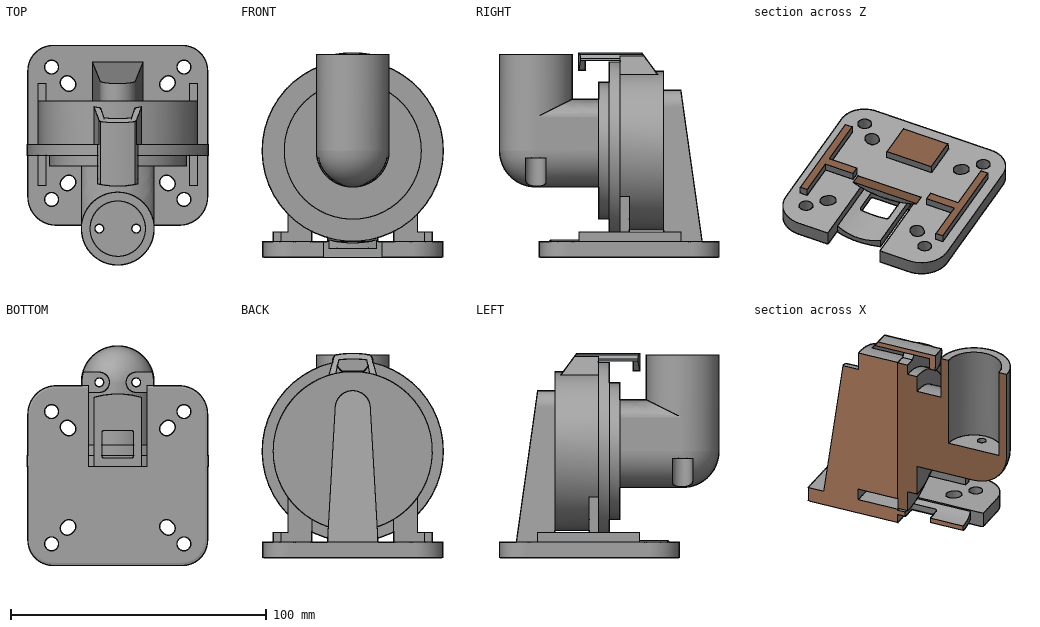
import cadquery as cq
import math


PLATE_SIZE = 70.5
PLATE_BACK = 38.8
PLATE_FRONT = PLATE_BACK - PLATE_SIZE
PLATE_TOP = 6.3
PLATE_BEVEL_H = 0.3
PLATE_BEVEL_W = 1.0
BACK_CORNER_R = 10.0
FRONT_CORNER_R = 11.2
HOLE_MID_Y = 4.4
ROUND_HOLE_PITCH = 25.9
HOLE_D = 5.3
LONG_HOLE_PITCH = 19.45
LONG_HOLE_LENGTH = 6.3
LONG_HOLE_ANGLE = 45

AXIS_Z = 41.9
DRUM_R = 31.15
DRUM_DEPTH = 17.0
FLANGE_R = 71.0 / 2
FLANGE_T = 4.3
BOSS_R = 26.85
BOSS_T = 4.05

TUBE_R = 14.3
BORE_R = 10.8
TUBE_Y = -33.0
TUBE_TOP = 79.6
ARM_SIDE_RISE = 13.0
ARM_CROWN = TUBE_R / 2
SCREW_X = 7.2
SCREW_D = 3.35
SCREW_RECESS_D = 7.9
SCREW_FLOOR_T = 2.8

RAIL_OUTER_X = DRUM_R
RAIL_W = 3.1
RAIL_TOP = 10.1
RAIL_BACK = 23.8
RAIL_FRONT = -16.1
FOOT_INNER_X = 16.0
FOOT_OUTER_X = 25.4
FOOT_T = 3.7

GUSSET_BASE_HALF = 9.9
GUSSET_TOP_HALF = 6.9
GUSSET_SIDE_TOP = 58.9
GUSSET_TOP = 65.6
GUSSET_BASE_BACK = 32.2
GUSSET_TOP_BACK = 23.8

CLIP_INNER_R = 36.1
CLIP_HALF_W = 9.4
CLIP_OUTER_R = 38.3
CLIP_BASE_Z = 71.5
CLIP_CROWN_HALF = 6.7
CLIP_EDGE_HALF = 7.3
CLIP_EDGE_Z = 78.9
TONGUE_HALF_W = 7.9
TONGUE_EDGE_Z = 77.9
TONGUE_FRONT = -15.4
TONGUE_BULGE = 0.95
CLIP_SLOPE_TOP_Y = 8.95
CLIP_SLOPE_BASE_Y = 14.9
TUNNEL_BASE_HALF = 6.9
TUNNEL_ROOF_HALF = 5.4
HOOK_BACK = -13.6
HOOK_BOTTOM = 73.3
HOOK_TIP_HALF = 4.3
NOTCH_BOTTOM = 72.9
SLOT_HALF_W = 11.4
LOWER_CLIP_BOTTOM = 3.6
LOWER_CLIP_FRONT = -27.0
LOWER_CLIP_BULGE = 1.4
WINDOW_HALF_W = 6.2
WINDOW_BACK = -3.3
WINDOW_FRONT = -14.1
WINDOW_CORNER_R = 0.9

SIDES = (-1, 1)


def box(half_w, front, back, bottom, top):
    """Block centred on X = 0."""
    size = (2 * half_w, back - front, top - bottom)
    return cq.Workplane("XY").box(*size, centered=(True, False, False)).translate((0, front, bottom))


def offset_box(x0, x1, front, back, bottom, top):
    """Block between two X positions."""
    return box((x1 - x0) / 2, front, back, bottom, top).translate(((x0 + x1) / 2, 0, 0))


def disc(radius, front, back):
    """Cylinder on the drum axis."""
    return cq.Workplane("XZ", origin=(0, back, AXIS_Z)).circle(radius).extrude(back - front)


def rim_height(radius, x):
    """Height of the top of a circle about the drum axis, at a given X."""
    return AXIS_Z + math.sqrt(radius**2 - x**2)


def bowed_block(half_w, front, bulge, back, top):
    """Block rising from Z = 0 whose front face bows forward."""
    outline = cq.Workplane("XY").moveTo(-half_w, back).lineTo(-half_w, front)
    outline = outline.threePointArc((0, front - bulge), (half_w, front)).lineTo(half_w, back).close()
    return outline.extrude(top)


def hook_taper(bottom, front, back):
    """Downward taper shared by the hook and the flange notch it passes through."""
    shoulder = rim_height(CLIP_INNER_R, TONGUE_HALF_W)
    top = rim_height(CLIP_INNER_R, 0)
    return (
        cq.Workplane("XZ", origin=(0, back, 0))
        .moveTo(-TONGUE_HALF_W, shoulder)
        .lineTo(-HOOK_TIP_HALF, bottom)
        .lineTo(HOOK_TIP_HALF, bottom)
        .lineTo(TONGUE_HALF_W, shoulder)
        .threePointArc((0, top), (-TONGUE_HALF_W, shoulder))
        .close()
        .extrude(back - front)
    )


def make_plate():
    plate = box(PLATE_SIZE / 2, PLATE_FRONT, PLATE_BACK, 0, PLATE_TOP)
    plate = plate.edges("|Z and >Y").fillet(BACK_CORNER_R)
    plate = plate.edges("|Z and <Y").fillet(FRONT_CORNER_R)
    plate = plate.faces("<Z").chamfer(PLATE_BEVEL_H, PLATE_BEVEL_W)
    for side in SIDES:
        for end in SIDES:
            round_hole = (
                cq.Workplane("XY")
                .center(side * ROUND_HOLE_PITCH, HOLE_MID_Y + end * ROUND_HOLE_PITCH)
                .circle(HOLE_D / 2)
                .extrude(PLATE_TOP)
            )
            long_hole = (
                cq.Workplane("XY")
                .center(side * LONG_HOLE_PITCH, HOLE_MID_Y + end * LONG_HOLE_PITCH)
                .slot2D(LONG_HOLE_LENGTH, HOLE_D, LONG_HOLE_ANGLE * side * end)
                .extrude(PLATE_TOP)
            )
            plate = plate.cut(round_hole).cut(long_hole)
    return plate.cut(box(SLOT_HALF_W, PLATE_FRONT, 0, 0, PLATE_TOP))


def make_lower_clip():
    """Tongue in the plate slot, hollowed to follow the flange rim, with a window through it."""
    tip = LOWER_CLIP_FRONT - LOWER_CLIP_BULGE
    clip = bowed_block(CLIP_HALF_W, LOWER_CLIP_FRONT, LOWER_CLIP_BULGE, 0, AXIS_Z)
    clip = clip.cut(box(CLIP_HALF_W, tip, 0, 0, LOWER_CLIP_BOTTOM))
    clip = clip.cut(disc(CLIP_INNER_R, tip, 0))
    window = box(WINDOW_HALF_W, WINDOW_FRONT, WINDOW_BACK, 0, AXIS_Z).edges("|Z").fillet(WINDOW_CORNER_R)
    return clip.cut(window)


def make_side_support():
    """Rail and stepped foot on the +X side; the foot rises to the widest part of the drum."""
    rail = offset_box(RAIL_OUTER_X - RAIL_W, RAIL_OUTER_X, RAIL_FRONT, RAIL_BACK, PLATE_TOP, RAIL_TOP)
    step = offset_box(FOOT_INNER_X, RAIL_OUTER_X, 0, FOOT_T, PLATE_TOP, RAIL_TOP)
    foot = offset_box(FOOT_INNER_X, FOOT_OUTER_X, 0, FOOT_T, PLATE_TOP, AXIS_Z)
    return rail.union(step).union(foot)


def make_gusset():
    front_profile = (
        cq.Workplane("XZ")
        .moveTo(-GUSSET_BASE_HALF, PLATE_TOP)
        .lineTo(-GUSSET_TOP_HALF, GUSSET_SIDE_TOP)
        .threePointArc((0, GUSSET_TOP), (GUSSET_TOP_HALF, GUSSET_SIDE_TOP))
        .lineTo(GUSSET_BASE_HALF, PLATE_TOP)
        .close()
        .extrude(-GUSSET_BASE_BACK)
    )
    side_profile = (
        cq.Workplane("YZ")
        .moveTo(DRUM_DEPTH, PLATE_TOP)
        .lineTo(GUSSET_BASE_BACK, PLATE_TOP)
        .lineTo(GUSSET_TOP_BACK, GUSSET_TOP)
        .lineTo(DRUM_DEPTH, GUSSET_TOP)
        .close()
        .extrude(GUSSET_BASE_HALF, both=True)
    )
    return front_profile.intersect(side_profile)


def make_clip_housing():
    """Hollow block on top of the drum, open at its sloped rear face."""
    crown_edge_z = rim_height(CLIP_OUTER_R, CLIP_CROWN_HALF)
    block = (
        cq.Workplane("XZ")
        .moveTo(-CLIP_HALF_W, AXIS_Z)
        .lineTo(-CLIP_HALF_W, CLIP_BASE_Z)
        .lineTo(-CLIP_EDGE_HALF, CLIP_EDGE_Z)
        .lineTo(-CLIP_CROWN_HALF, crown_edge_z)
        .threePointArc((0, AXIS_Z + CLIP_OUTER_R), (CLIP_CROWN_HALF, crown_edge_z))
        .lineTo(CLIP_EDGE_HALF, CLIP_EDGE_Z)
        .lineTo(CLIP_HALF_W, CLIP_BASE_Z)
        .lineTo(CLIP_HALF_W, AXIS_Z)
        .close()
        .extrude(-DRUM_DEPTH)
    )
    slope = (CLIP_SLOPE_BASE_Y - CLIP_SLOPE_TOP_Y) / (crown_edge_z - CLIP_BASE_Z)
    crown_rise = CLIP_OUTER_R + AXIS_Z - crown_edge_z
    side_profile = (
        cq.Workplane("YZ")
        .moveTo(0, AXIS_Z)
        .lineTo(CLIP_SLOPE_BASE_Y, AXIS_Z)
        .lineTo(CLIP_SLOPE_BASE_Y, CLIP_BASE_Z)
        .lineTo(CLIP_SLOPE_TOP_Y - slope * crown_rise, AXIS_Z + CLIP_OUTER_R)
        .lineTo(0, AXIS_Z + CLIP_OUTER_R)
        .close()
        .extrude(CLIP_HALF_W, both=True)
    )
    roof_edge_z = rim_height(CLIP_INNER_R, TUNNEL_ROOF_HALF)
    tunnel = (
        cq.Workplane("XZ")
        .moveTo(-TUNNEL_BASE_HALF, AXIS_Z)
        .lineTo(-TUNNEL_BASE_HALF, CLIP_BASE_Z)
        .lineTo(-TUNNEL_ROOF_HALF, roof_edge_z)
        .threePointArc((0, AXIS_Z + CLIP_INNER_R), (TUNNEL_ROOF_HALF, roof_edge_z))
        .lineTo(TUNNEL_BASE_HALF, CLIP_BASE_Z)
        .lineTo(TUNNEL_BASE_HALF, AXIS_Z)
        .close()
        .extrude(-DRUM_DEPTH)
    )
    return block.intersect(side_profile).cut(tunnel)


def make_clip_tongue():
    """Curved strip reaching over the flange, ending in a downward hook."""
    tip = TONGUE_FRONT - TONGUE_BULGE
    crown_edge_z = rim_height(CLIP_OUTER_R, CLIP_CROWN_HALF)
    under_edge_z = rim_height(CLIP_INNER_R, TONGUE_HALF_W)
    strip = (
        cq.Workplane("XZ")
        .moveTo(-TONGUE_HALF_W, under_edge_z)
        .lineTo(-TONGUE_HALF_W, TONGUE_EDGE_Z)
        .lineTo(-CLIP_EDGE_HALF, CLIP_EDGE_Z)
        .lineTo(-CLIP_CROWN_HALF, crown_edge_z)
        .threePointArc((0, AXIS_Z + CLIP_OUTER_R), (CLIP_CROWN_HALF, crown_edge_z))
        .lineTo(CLIP_EDGE_HALF, CLIP_EDGE_Z)
        .lineTo(TONGUE_HALF_W, TONGUE_EDGE_Z)
        .lineTo(TONGUE_HALF_W, under_edge_z)
        .threePointArc((0, AXIS_Z + CLIP_INNER_R), (-TONGUE_HALF_W, under_edge_z))
        .close()
        .extrude(-tip)
    )
    bowed = bowed_block(TONGUE_HALF_W, TONGUE_FRONT, TONGUE_BULGE, 0, AXIS_Z + CLIP_OUTER_R)
    return strip.union(hook_taper(HOOK_BOTTOM, tip, HOOK_BACK)).intersect(bowed)


def make_base():
    support = make_side_support()
    base = make_plate().union(make_lower_clip()).union(make_gusset())
    base = base.union(support).union(support.mirror("YZ"))
    base = base.union(disc(DRUM_R, 0, DRUM_DEPTH))
    return base.union(make_clip_housing()).union(make_clip_tongue())


def make_arm():
    """Horizontal tube: round below, flat sides, half-elliptic crown."""
    side_top = AXIS_Z + ARM_SIDE_RISE
    return (
        cq.Workplane("XZ")
        .moveTo(-TUBE_R, side_top)
        .lineTo(-TUBE_R, AXIS_Z)
        .threePointArc((0, AXIS_Z - TUBE_R), (TUBE_R, AXIS_Z))
        .lineTo(TUBE_R, side_top)
        .ellipseArc(TUBE_R, ARM_CROWN, 0, 180, startAtCurrent=True)
        .close()
        .extrude(-TUBE_Y)
    )


def make_screw_cut(side):
    """Screw hole in the tube floor, with a recess below it that runs out through the side."""
    hole = cq.Workplane("XY").center(side * SCREW_X, TUBE_Y).circle(SCREW_D / 2).extrude(AXIS_Z)
    recess_top = AXIS_Z - SCREW_FLOOR_T
    recess = cq.Workplane("XY").center(side * SCREW_X, TUBE_Y).circle(SCREW_RECESS_D / 2).extrude(recess_top)
    run_out = (
        cq.Workplane("XY")
        .center(side * (SCREW_X + TUBE_R / 2), TUBE_Y)
        .rect(TUBE_R, SCREW_RECESS_D)
        .extrude(recess_top)
    )
    return hole.union(recess).union(run_out)


def make_elbow():
    flange = disc(FLANGE_R, -FLANGE_T, 0).cut(hook_taper(NOTCH_BOTTOM, -FLANGE_T, 0))
    boss = disc(BOSS_R, -FLANGE_T - BOSS_T, 0)
    upright = cq.Workplane("XY", origin=(0, TUBE_Y, AXIS_Z)).circle(TUBE_R).extrude(TUBE_TOP - AXIS_Z)
    bend = cq.Workplane("XY", origin=(0, TUBE_Y, AXIS_Z)).sphere(TUBE_R)
    bore = cq.Workplane("XY", origin=(0, TUBE_Y, AXIS_Z)).circle(BORE_R).extrude(TUBE_TOP - AXIS_Z)
    elbow = flange.union(boss).union(make_arm()).union(bend).union(upright).cut(bore)
    for side in SIDES:
        elbow = elbow.cut(make_screw_cut(side))
    return elbow


base = make_base()
elbow = make_elbow()
result = cq.Compound.makeCompound([base.val(), elbow.val()])